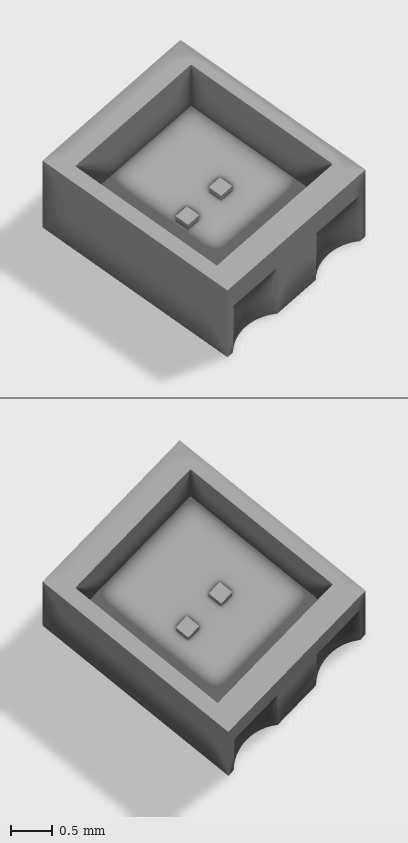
import cadquery as cq

LENGTH = 3.0
WIDTH = LENGTH * 5 / 6
BASE_HEIGHT = LENGTH / 6
FRAME_HEIGHT = BASE_HEIGHT * 4 / 5

END_WALL = 0.35
SIDE_WALL = 0.2
CAVITY_LENGTH = LENGTH - 2 * END_WALL
CAVITY_WIDTH = WIDTH - 2 * SIDE_WALL

GROOVE_WIDTH = 0.8
GROOVE_DEPTH = 0.15
GROOVE_SPACING = 1.5
GROOVE_RADIUS = ((GROOVE_WIDTH / 2) ** 2 + GROOVE_DEPTH ** 2) / (2 * GROOVE_DEPTH)

STRIP_WIDTH = 0.15
STRIP_DEPTH = 0.05
STRIP_INSET = 0.1

CHIP_SIDE = 0.2
CHIP_HEIGHT = 0.1
CHIP_SPACING = 0.6

FLOOR_Z = BASE_HEIGHT
FRAME_JOINT_Z = FLOOR_Z + FRAME_HEIGHT
TOP_Z = FRAME_JOINT_Z + FRAME_HEIGHT


def block(length, width, height, bottom_z, x=0, y=0):
    """Box centred on (x, y) that rises from bottom_z."""
    plane = cq.Workplane("XY", origin=(x, y, bottom_z))
    return plane.box(length, width, height, centered=(True, True, False))


def layer(height, bottom_z):
    """Plain slab with the full package outline."""
    return block(LENGTH, WIDTH, height, bottom_z)


def cut_cavity(body, height, bottom_z):
    """Open the rectangular cavity through a slab."""
    return body.cut(block(CAVITY_LENGTH, CAVITY_WIDTH, height, bottom_z))


def cut_grooves(body, height, bottom_z):
    """Cut two upright circular-arc grooves into each end face of a slab."""
    axis_x = LENGTH / 2 - GROOVE_DEPTH + GROOVE_RADIUS
    centres = [(end * axis_x, side * GROOVE_SPACING / 2) for end in (-1, 1) for side in (-1, 1)]
    plane = cq.Workplane("XY", origin=(0, 0, bottom_z))
    cutters = plane.pushPoints(centres).circle(GROOVE_RADIUS).extrude(height)
    return body.cut(cutters)


def make_base():
    return cut_grooves(layer(BASE_HEIGHT, 0), BASE_HEIGHT, 0)


def make_lower_frame():
    frame = cut_cavity(layer(FRAME_HEIGHT, FLOOR_Z), FRAME_HEIGHT, FLOOR_Z)
    return cut_grooves(frame, FRAME_HEIGHT, FLOOR_Z)


def make_marking_strip():
    strip_x = -LENGTH / 2 + STRIP_INSET + STRIP_WIDTH / 2
    return block(STRIP_WIDTH, WIDTH, STRIP_DEPTH, TOP_Z - STRIP_DEPTH, x=strip_x)


def make_upper_frame():
    """Cavity frame with a slot that the marking strip fills."""
    frame = cut_cavity(layer(FRAME_HEIGHT, FRAME_JOINT_Z), FRAME_HEIGHT, FRAME_JOINT_Z)
    return frame.cut(make_marking_strip())


def make_chip(y):
    return block(CHIP_SIDE, CHIP_SIDE, CHIP_HEIGHT, FLOOR_Z, y=y)


base = make_base()
lower_frame = make_lower_frame()
upper_frame = make_upper_frame()
marking_strip = make_marking_strip()
chips = [make_chip(side * CHIP_SPACING / 2) for side in (-1, 1)]

result = cq.Compound.makeCompound([
    base.val(),
    lower_frame.val(),
    upper_frame.val(),
    marking_strip.val(),
    *[chip.val() for chip in chips],
])